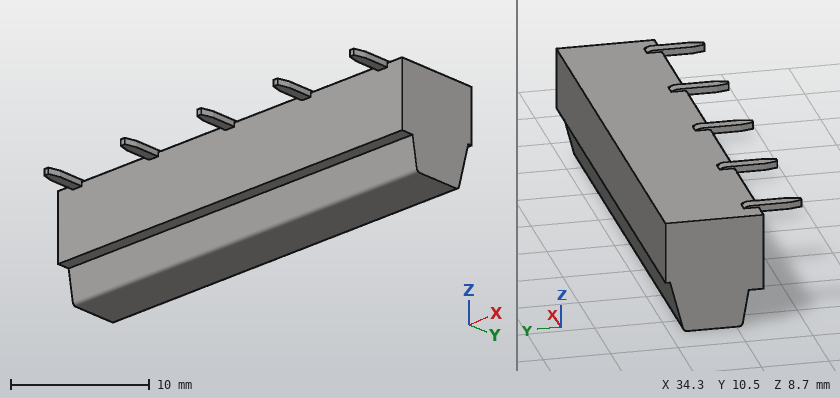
import cadquery as cq

length = 34.3
total_depth = 10.5
total_height = 8.7
body_depth = 7.27
pin_rise = 0.17
back_wall_height = 4.63
front_wall_height = 5.75
back_ledge = 0.35
front_ledge = 1.1
nose_back_inset = 1.37
nose_front_inset = 1.58
nose_radius = 0.35

pin_count = 5
pin_pitch = 7.6
pin_width = 0.9
pin_thickness = 0.5
tip_width = 0.4
tip_length = 0.95
bend_radius = 1.0
bend_start = 0.55

body_height = total_height - pin_rise
pin_reach = total_depth - body_depth


def make_housing():
    profile = [
        (0, 0),
        (body_depth, 0),
        (body_depth, -back_wall_height),
        (body_depth - back_ledge, -back_wall_height),
        (body_depth - nose_back_inset, -body_height),
        (nose_front_inset, -body_height),
        (front_ledge, -front_wall_height),
        (0, -front_wall_height),
    ]
    block = cq.Workplane("YZ").polyline(profile).close().extrude(length / 2, both=True)
    return block.faces("<Z").edges("|X").fillet(nose_radius)


def make_pin():
    """One pin centred on X = 0, with a tapered tip and a rear end rounded down into the housing."""
    half_width = pin_width / 2
    half_tip = tip_width / 2
    back = bend_start + bend_radius
    outline = [
        (-half_width, back),
        (-half_width, tip_length - pin_reach),
        (-half_tip, -pin_reach),
        (half_tip, -pin_reach),
        (half_width, tip_length - pin_reach),
        (half_width, back),
    ]
    flat = (
        cq.Workplane("XY", origin=(0, 0, pin_rise - pin_thickness))
        .polyline(outline)
        .close()
        .extrude(pin_thickness)
    )
    side_profile = (
        cq.Workplane("YZ")
        .moveTo(-pin_reach, pin_rise)
        .lineTo(bend_start, pin_rise)
        .radiusArc((back, pin_rise - bend_radius), bend_radius)
        .lineTo(-pin_reach, pin_rise - bend_radius)
        .close()
        .extrude(half_width, both=True)
    )
    return flat.intersect(side_profile)


result = make_housing()
pin = make_pin()
for index in range(pin_count):
    pin_x = (index - (pin_count - 1) / 2) * pin_pitch
    result = result.union(pin.translate((pin_x, 0, 0)))